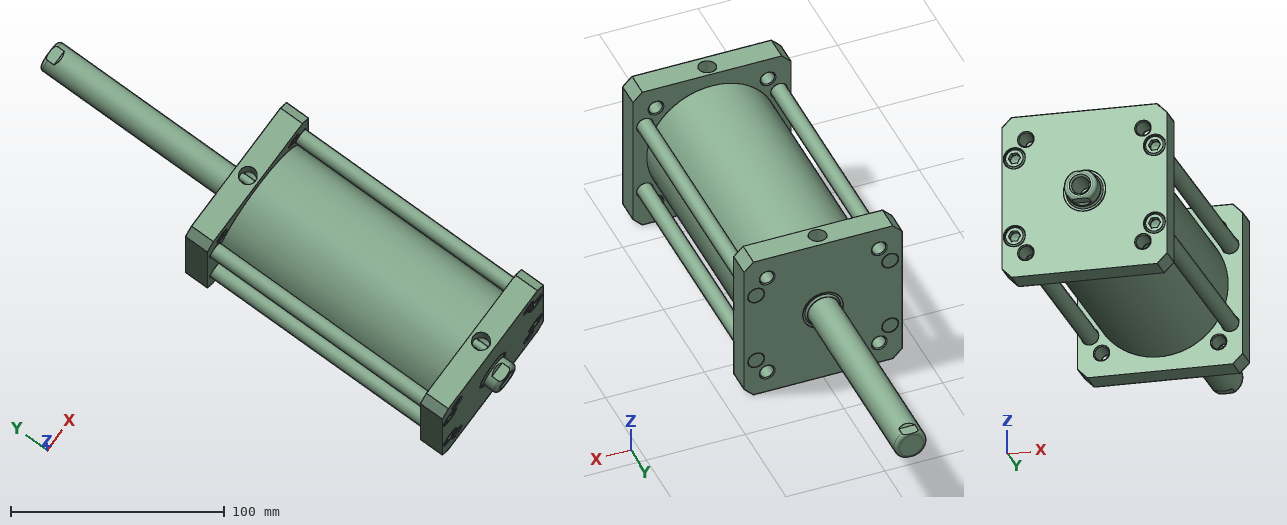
import cadquery as cq
import math

LENGTH = 265.0
FLATS_WIDTH = 13.8
FLATS_LENGTH = 5.5
FLAT_DEPTH = 1.1
ROD_DIA = FLATS_WIDTH + 2 * FLAT_DEPTH
ROD_ROUND = 1.9
ROD_HOLE_DIA = 8.5
ROD_HOLE_MOUTH_DIA = 10.3
ROD_HOLE_DEPTH = 16.0
ROD_HOLE_TIP = 0.5

FLATS_GAP = 1.3
ROD_FRONT_REACH = FLATS_LENGTH + FLAT_DEPTH + FLATS_GAP
BODY_LENGTH = 149.0
PLATE_THICKNESS = 12.7
FRONT_TIP_Y = -LENGTH / 2
BACK_TIP_Y = LENGTH / 2
FRONT_FACE_Y = FRONT_TIP_Y + ROD_FRONT_REACH
FRONT_INNER_Y = FRONT_FACE_Y + PLATE_THICKNESS
BACK_FACE_Y = FRONT_FACE_Y + BODY_LENGTH
BACK_INNER_Y = BACK_FACE_Y - PLATE_THICKNESS

PLATE_SIDE = 80.0
PLATE_CHAMFER = 4.8
MOUNT_PITCH = 56.7
MOUNT_HOLE_DIA = 7.0
MOUNT_MOUTH_DIA = 8.0

LIP_TIP_DIA = 16.5
LIP_BASE_DIA = 18.0
LIP_HEIGHT = 0.5
GROOVE_DIA = 20.5
GROOVE_DEPTH = 0.5

PORT_DIA = 8.7
PORT_SETBACK = 7.0
PORT_DEPTH = 10.9
RIDGE_DIA = 4.0
DRILL_ANGLE = math.radians(118)

TUBE_OUTER_DIA = 66.0
TUBE_BORE_DIA = 63.0

TIE_PITCH_X = 67.8
TIE_PITCH_Z = 39.0
TIE_DIA = 8.0
TIE_HOLE_DIA = 8.5
HEAD_DIA = 10.0
HEAD_CHAMFER = 0.8
HEAD_HEIGHT = 6.0
HEAD_RECESS_DIA = 10.5
SOCKET_FLATS = 5.0
SOCKET_DEPTH = 2.6


def cylinder_y(diameter, y_start, y_end, x=0.0, z=0.0):
    """Cylinder along Y between two Y positions."""
    solid = cq.Solid.makeCylinder(
        diameter / 2, y_end - y_start, cq.Vector(x, y_start, z), cq.Vector(0, 1, 0)
    )
    return cq.Workplane(solid)


def cone_y(dia_start, dia_end, y_start, y_end, x=0.0, z=0.0):
    """Cone along Y between two Y positions, with the diameter at each."""
    solid = cq.Solid.makeCone(
        dia_start / 2, dia_end / 2, y_end - y_start, cq.Vector(x, y_start, z), cq.Vector(0, 1, 0)
    )
    return cq.Workplane(solid)


def drill_tip(diameter):
    """Height of the cone that a drill leaves at the bottom of a hole."""
    return diameter / 2 / math.tan(DRILL_ANGLE / 2)


def four_places(pitch_x, pitch_z):
    """X and Z of four places spread evenly about the axis."""
    return [(i * pitch_x / 2, k * pitch_z / 2) for i in (-1, 1) for k in (-1, 1)]


def mounting_hole(x, z):
    """Cutter for a through hole countersunk at both faces of the front plate."""
    sink = (MOUNT_MOUTH_DIA - MOUNT_HOLE_DIA) / 2
    hole = cylinder_y(MOUNT_HOLE_DIA, FRONT_FACE_Y, FRONT_INNER_Y, x, z)
    outer = cone_y(MOUNT_MOUTH_DIA, MOUNT_HOLE_DIA, FRONT_FACE_Y, FRONT_FACE_Y + sink, x, z)
    inner = cone_y(MOUNT_HOLE_DIA, MOUNT_MOUTH_DIA, FRONT_INNER_Y - sink, FRONT_INNER_Y, x, z)
    return hole.union(outer).union(inner)


def air_port():
    """Cutter for the front plate's port, which leaves the ridge standing on the floor."""
    port_y = FRONT_FACE_Y + PORT_SETBACK
    floor_z = PLATE_SIDE / 2 - PORT_DEPTH
    port = (
        cq.Workplane("XY", origin=(0, port_y, floor_z))
        .circle(PORT_DIA / 2).extrude(PORT_DEPTH)
    )
    point = cq.Workplane(cq.Solid.makeCone(
        PORT_DIA / 2, 0, drill_tip(PORT_DIA), cq.Vector(0, port_y, floor_z), cq.Vector(0, 0, -1)
    ))
    ridge = cylinder_y(RIDGE_DIA, port_y - PORT_DIA, port_y + PORT_DIA, 0, floor_z)
    return port.union(point).cut(ridge)


def end_plate():
    """Plate with everything both ends share, placed at the front."""
    body = (
        cq.Workplane("XY")
        .box(PLATE_SIDE, PLATE_THICKNESS, PLATE_SIDE)
        .edges("|Y").chamfer(PLATE_CHAMFER)
        .translate((0, FRONT_FACE_Y + PLATE_THICKNESS / 2, 0))
    )
    groove_floor_y = FRONT_FACE_Y + GROOVE_DEPTH
    lip_y = FRONT_FACE_Y - LIP_HEIGHT
    body = body.cut(cylinder_y(GROOVE_DIA, FRONT_FACE_Y, groove_floor_y))
    body = body.union(cone_y(LIP_TIP_DIA, LIP_BASE_DIA, lip_y, groove_floor_y))
    body = body.cut(cylinder_y(ROD_DIA, lip_y, FRONT_INNER_Y))
    for x, z in four_places(MOUNT_PITCH, MOUNT_PITCH):
        body = body.cut(mounting_hole(x, z))
    for x, z in four_places(TIE_PITCH_X, TIE_PITCH_Z):
        body = body.cut(cylinder_y(TIE_HOLE_DIA, FRONT_FACE_Y, FRONT_INNER_Y, x, z))
    return body.cut(air_port())


def front_plate():
    """End plate with recesses for the screw heads."""
    body = end_plate()
    for x, z in four_places(TIE_PITCH_X, TIE_PITCH_Z):
        recess = cylinder_y(HEAD_RECESS_DIA, FRONT_FACE_Y, FRONT_FACE_Y + HEAD_HEIGHT, x, z)
        body = body.cut(recess)
    return body


def back_plate():
    """End plate turned round to face backwards."""
    return end_plate().mirror("XZ").translate((0, FRONT_FACE_Y + BACK_FACE_Y, 0))


def cylinder_tube():
    outer = cylinder_y(TUBE_OUTER_DIA, FRONT_INNER_Y, BACK_INNER_Y)
    return outer.cut(cylinder_y(TUBE_BORE_DIA, FRONT_INNER_Y, BACK_INNER_Y))


def tie_screw(x, z):
    """Socket head screw from the front plate through to the back face."""
    neck_y = FRONT_FACE_Y + HEAD_HEIGHT
    socket_floor_y = FRONT_FACE_Y + SOCKET_DEPTH
    head = cylinder_y(HEAD_DIA, FRONT_FACE_Y, neck_y, x, z).faces("<Y").chamfer(HEAD_CHAMFER)
    shank = cylinder_y(TIE_DIA, neck_y, BACK_FACE_Y, x, z)
    socket_corners = SOCKET_FLATS / math.cos(math.pi / 6)
    socket = (
        cq.Workplane("XZ", origin=(x, FRONT_FACE_Y, z))
        .polygon(6, socket_corners).extrude(-SOCKET_DEPTH)
    )
    tip_y = socket_floor_y + drill_tip(SOCKET_FLATS)
    point = cone_y(SOCKET_FLATS, 0, socket_floor_y, tip_y, x, z)
    return head.union(shank).cut(socket).cut(point)


def wrench_flat():
    """Cutter for the upper flat at the back tip, which runs out at 45 degrees."""
    flat_z = FLATS_WIDTH / 2
    rod_radius = ROD_DIA / 2
    flat_end_y = BACK_TIP_Y - FLATS_LENGTH
    outline = [
        (BACK_TIP_Y, flat_z),
        (flat_end_y, flat_z),
        (flat_end_y - FLAT_DEPTH, rod_radius),
        (BACK_TIP_Y, rod_radius),
    ]
    return cq.Workplane("YZ").polyline(outline).close().extrude(rod_radius, both=True)


def piston_rod():
    """Through rod with flats at both tips and a hole in the front tip."""
    body = cylinder_y(ROD_DIA, FRONT_TIP_Y, BACK_TIP_Y).edges("%CIRCLE").fillet(ROD_ROUND)
    back_flat = wrench_flat()
    for flat in (back_flat, back_flat.mirror("XZ")):
        body = body.cut(flat).cut(flat.mirror("XY"))
    floor_y = FRONT_TIP_Y + ROD_HOLE_DEPTH
    sink = (ROD_HOLE_MOUTH_DIA - ROD_HOLE_DIA) / 2
    body = body.cut(cylinder_y(ROD_HOLE_DIA, FRONT_TIP_Y, floor_y))
    body = body.cut(cone_y(ROD_HOLE_DIA, 0, floor_y, floor_y + ROD_HOLE_TIP))
    return body.cut(cone_y(ROD_HOLE_MOUTH_DIA, ROD_HOLE_DIA, FRONT_TIP_Y, FRONT_TIP_Y + sink))


tie_screws = [tie_screw(x, z).val() for x, z in four_places(TIE_PITCH_X, TIE_PITCH_Z)]

result = cq.Compound.makeCompound([
    front_plate().val(),
    back_plate().val(),
    cylinder_tube().val(),
    piston_rod().val(),
    *tie_screws,
])